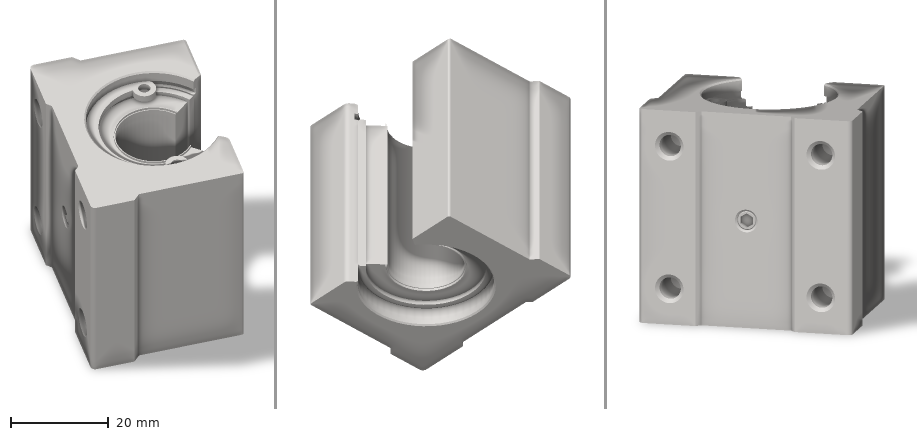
import cadquery as cq
import math


LENGTH = 45.0
HALF_LENGTH = LENGTH / 2
BASE_HALF_WIDTH = 22.5
ARM_HALF_WIDTH = 21.0
HEIGHT = 33.0
AXIS_HEIGHT = 20.0
BOTTOM_Y = -AXIS_HEIGHT
TOP_Y = HEIGHT - AXIS_HEIGHT
BASE_SIDE_HEIGHT = 9.15
SHOULDER_HEIGHT = 10.55
BASE_CORNER_RADIUS = 1.0
ARM_CORNER_RADIUS = 0.5
NOTCH_HALF_WIDTH = 10.5
NOTCH_DEPTH = 1.0
NOTCH_FLOOR_Y = BOTTOM_Y + NOTCH_DEPTH
MOUTH_TOP_HALF_WIDTH = 9.95
MOUTH_HALF_ANGLE = 33.0
MOUTH_FILLET = 1.5
TOP_BEVEL_WIDTH = 0.5
TOP_BEVEL_DROP = 0.2

BORE_RADIUS = 14.0
BORE_CHAMFER = 0.3
GROOVE_RADIUS = 14.7
RING_THICKNESS = 1.5

BUSHING_LENGTH = 37.0
BUSHING_TOP = BUSHING_LENGTH / 2
RING_TOP = BUSHING_TOP + RING_THICKNESS
BUSHING_EDGE_RADIUS = 0.6
LINER_BORE_RADIUS = 7.9
LIP_INNER_RADIUS = 8.1
LIP_OUTER_RADIUS = 8.3
LIP_HEIGHT = 0.55
RIM_INNER_RADIUS = 12.35
RECESS_DEPTH = 1.0
SLEEVE_HALF_ANGLE = 37.5
LINER_HALF_ANGLE = 40.0

RING_INNER_RADIUS = 12.05
RING_INNER_SHIFT = 0.7
LUG_X = 11.9
LUG_Y = 1.45
LUG_RADIUS = 2.45
LUG_HOLE_RADIUS = 1.25

HOLE_X = 16.0
HOLE_Z = 15.0
HOLE_RADIUS = 2.25
HOLE_MOUTH_RADIUS = 3.0
HOLE_DEPTH = 9.9
DRILL_HALF_ANGLE = 59.0

SCREW_RADIUS = 2.0
SCREW_MOUTH_RADIUS = 2.4
SCREW_CHAMFER = 0.2
HEX_ACROSS_FLATS = 2.6
HEX_DEPTH = 1.35
SCREW_FACE_Y = NOTCH_FLOOR_Y + (SCREW_MOUTH_RADIUS - SCREW_RADIUS)


def cylinder(radius, bottom, top):
    """Cylinder on the bore axis between two heights."""
    return cq.Workplane("XY").workplane(offset=bottom).circle(radius).extrude(top - bottom)


def wedge(half_angle):
    """Full-length wedge that opens toward +Y from the bore axis."""
    reach = HEIGHT
    half_width = reach * math.tan(math.radians(half_angle))
    outline = [(0, 0), (half_width, reach), (-half_width, reach)]
    return cq.Workplane("XY").polyline(outline).close().extrude(HALF_LENGTH, both=True)


def bored_from_front(profile, x, z):
    """Solid of revolution about a Y line at (x, z); profile points are (radius, y)."""
    turned = cq.Workplane("XY").polyline(profile).close().revolve(360, (0, 0), (0, 1))
    return turned.translate((x, 0, z))


def block():
    """Extruded block outline with its corner fillets."""
    mouth_bottom_half_width = MOUTH_TOP_HALF_WIDTH - TOP_Y * math.tan(math.radians(MOUTH_HALF_ANGLE))
    notch_floor_half_width = NOTCH_HALF_WIDTH - NOTCH_DEPTH
    right_side = [
        (notch_floor_half_width, NOTCH_FLOOR_Y),
        (NOTCH_HALF_WIDTH, BOTTOM_Y),
        (BASE_HALF_WIDTH, BOTTOM_Y),
        (BASE_HALF_WIDTH, BOTTOM_Y + BASE_SIDE_HEIGHT),
        (ARM_HALF_WIDTH, BOTTOM_Y + SHOULDER_HEIGHT),
        (ARM_HALF_WIDTH, TOP_Y),
        (MOUTH_TOP_HALF_WIDTH, TOP_Y),
        (mouth_bottom_half_width, 0),
    ]
    left_side = [(-x, y) for x, y in reversed(right_side)]
    body = cq.Workplane("XY").polyline(right_side + left_side).close().extrude(HALF_LENGTH, both=True)

    corner_fillets = [
        (BASE_HALF_WIDTH, BOTTOM_Y, BASE_CORNER_RADIUS),
        (-BASE_HALF_WIDTH, BOTTOM_Y, BASE_CORNER_RADIUS),
        (ARM_HALF_WIDTH, TOP_Y, ARM_CORNER_RADIUS),
        (-ARM_HALF_WIDTH, TOP_Y, ARM_CORNER_RADIUS),
        (MOUTH_TOP_HALF_WIDTH, TOP_Y, MOUTH_FILLET),
    ]
    for x, y, radius in corner_fillets:
        body = body.edges(cq.NearestToPointSelector((x, y, 0))).fillet(radius)
    return body


def left_arm_bevel():
    """Shallow bevel along the upper back edge of the left arm only."""
    outline = [
        (TOP_Y - TOP_BEVEL_WIDTH, HALF_LENGTH),
        (TOP_Y, HALF_LENGTH),
        (TOP_Y, HALF_LENGTH - TOP_BEVEL_DROP),
    ]
    return cq.Workplane("YZ").polyline(outline).close().extrude(-BASE_HALF_WIDTH)


def bore_cutter():
    """Through bore with both mouths chamfered and the snap ring groove."""
    mouth_radius = BORE_RADIUS + BORE_CHAMFER
    profile = [
        (0, -HALF_LENGTH),
        (mouth_radius, -HALF_LENGTH),
        (BORE_RADIUS, BORE_CHAMFER - HALF_LENGTH),
        (BORE_RADIUS, BUSHING_TOP),
        (GROOVE_RADIUS, BUSHING_TOP),
        (GROOVE_RADIUS, RING_TOP),
        (BORE_RADIUS, RING_TOP),
        (BORE_RADIUS, HALF_LENGTH - BORE_CHAMFER),
        (mouth_radius, HALF_LENGTH),
        (0, HALF_LENGTH),
    ]
    return cq.Workplane("XZ").polyline(profile).close().revolve(360, (0, 0), (0, 1))


def mounting_hole(x, z):
    """Countersunk blind hole with a drill point."""
    shoulder_y = BOTTOM_Y + HOLE_DEPTH
    tip_length = HOLE_RADIUS / math.tan(math.radians(DRILL_HALF_ANGLE))
    profile = [
        (0, BOTTOM_Y),
        (HOLE_MOUTH_RADIUS, BOTTOM_Y),
        (HOLE_RADIUS, BOTTOM_Y + HOLE_MOUTH_RADIUS - HOLE_RADIUS),
        (HOLE_RADIUS, shoulder_y),
        (0, shoulder_y + tip_length),
    ]
    return bored_from_front(profile, x, z)


def screw_hole():
    """Countersunk set screw hole that opens into the bore."""
    profile = [
        (0, NOTCH_FLOOR_Y),
        (SCREW_MOUTH_RADIUS, NOTCH_FLOOR_Y),
        (SCREW_RADIUS, SCREW_FACE_Y),
        (SCREW_RADIUS, 0),
        (0, 0),
    ]
    return bored_from_front(profile, 0, 0)


def make_housing():
    housing = block().cut(left_arm_bevel()).cut(bore_cutter()).cut(screw_hole())
    for x in (-HOLE_X, HOLE_X):
        for z in (-HOLE_Z, HOLE_Z):
            housing = housing.cut(mounting_hole(x, z))
    return housing


def make_bushing():
    """Open bushing: a sleeve, and a liner recessed at each end with a thin lip around its bore."""
    liner_top = BUSHING_TOP - RECESS_DEPTH
    lip_top = liner_top + LIP_HEIGHT
    sleeve = cylinder(BORE_RADIUS, -BUSHING_TOP, BUSHING_TOP)
    sleeve = sleeve.edges().fillet(BUSHING_EDGE_RADIUS)
    sleeve = sleeve.cut(cylinder(RIM_INNER_RADIUS, -BUSHING_TOP, BUSHING_TOP))
    sleeve = sleeve.cut(wedge(SLEEVE_HALF_ANGLE))
    liner = cylinder(RIM_INNER_RADIUS, -liner_top, liner_top)
    lip_tube = cylinder(LIP_OUTER_RADIUS, -lip_top, lip_top)
    lip_tube = lip_tube.cut(cylinder(LIP_INNER_RADIUS, -lip_top, lip_top))
    liner = liner.union(lip_tube).cut(cylinder(LINER_BORE_RADIUS, -lip_top, lip_top))
    liner = liner.cut(wedge(LINER_HALF_ANGLE))
    return sleeve.union(liner)


def make_snap_ring():
    """Open ring, widest at the bottom, with a drilled lug at each end."""
    disc = cylinder(GROOVE_RADIUS, BUSHING_TOP, RING_TOP)
    opening = cylinder(RING_INNER_RADIUS, BUSHING_TOP, RING_TOP).translate((0, RING_INNER_SHIFT, 0))
    above_lugs = cq.Workplane("XY").box(LENGTH, LENGTH, LENGTH)
    above_lugs = above_lugs.translate((0, LUG_Y + LENGTH / 2, BUSHING_TOP))
    ring = disc.cut(opening).cut(above_lugs)
    for x in (-LUG_X, LUG_X):
        lug = cylinder(LUG_RADIUS, BUSHING_TOP, RING_TOP).translate((x, LUG_Y, 0))
        hole = cylinder(LUG_HOLE_RADIUS, BUSHING_TOP, RING_TOP).translate((x, LUG_Y, 0))
        ring = ring.union(lug.intersect(disc)).cut(hole)
    return ring


def make_set_screw():
    """Hex socket set screw that bears on the outside of the bushing."""
    profile = [
        (0, SCREW_FACE_Y),
        (SCREW_RADIUS - SCREW_CHAMFER, SCREW_FACE_Y),
        (SCREW_RADIUS, SCREW_FACE_Y + SCREW_CHAMFER),
        (SCREW_RADIUS, -BORE_RADIUS),
        (0, -BORE_RADIUS),
    ]
    corner_radius = HEX_ACROSS_FLATS / math.sqrt(3)
    corners = [
        (corner_radius * math.sin(math.radians(a)), corner_radius * math.cos(math.radians(a)))
        for a in range(0, 360, 60)
    ]
    socket = cq.Workplane("XZ", origin=(0, SCREW_FACE_Y, 0)).polyline(corners).close().extrude(-HEX_DEPTH)
    return bored_from_front(profile, 0, 0).cut(socket)


housing = make_housing()
bushing = make_bushing()
snap_ring = make_snap_ring()
set_screw = make_set_screw()

result = cq.Compound.makeCompound([housing.val(), bushing.val(), snap_ring.val(), set_screw.val()])